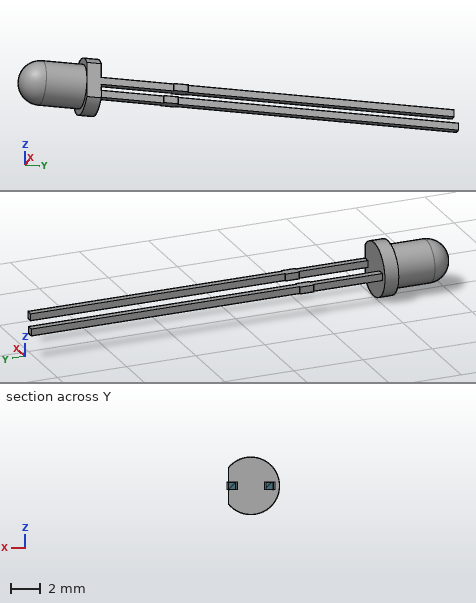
import cadquery as cq

lens_radius = 1.5
lens_straight_length = 2.8
flange_radius = 1.925
flange_thickness = 1.0
flange_flat_x = lens_radius

lead_thickness = 0.5
lead_pitch = 2.5
long_lead_length = 25.4
short_lead_length = long_lead_length - 1.0

standoff_width = 0.7
standoff_length = 1.0
standoff_start = 5.0

flange_front_y = -flange_thickness
dome_start_y = flange_front_y - lens_straight_length
tip_y = dome_start_y - lens_radius


def make_lens():
    """Straight cylinder with a hemispherical tip, revolved about the Y axis."""
    arc_offset = lens_radius * 0.5 ** 0.5
    profile = (
        cq.Workplane("XY")
        .moveTo(0, flange_front_y)
        .lineTo(lens_radius, flange_front_y)
        .lineTo(lens_radius, dome_start_y)
        .threePointArc((arc_offset, dome_start_y - arc_offset), (0, tip_y))
        .close()
    )
    return profile.revolve(360, (0, 0, 0), (0, 1, 0))


def make_flange():
    """Round flange with the polarity flat on its +X side."""
    disc = cq.Workplane("XZ").circle(flange_radius).extrude(flange_thickness)
    flange_size_x = flange_radius + flange_flat_x
    keep = cq.Workplane("XY").box(flange_size_x, 2 * flange_thickness, 2 * flange_radius)
    return disc.intersect(keep.translate(((flange_flat_x - flange_radius) / 2, 0, 0)))


def make_bar(center_x, width, start_y, length):
    """Rectangular bar of lead thickness running along +Y from start_y."""
    bar = cq.Workplane("XY").box(width, length, lead_thickness, centered=(True, False, True))
    return bar.translate((center_x, start_y, 0))


def make_lead(center_x, length):
    """Square lead with its wider standoff."""
    wire = make_bar(center_x, lead_thickness, 0, length)
    standoff = make_bar(center_x, standoff_width, standoff_start, standoff_length)
    return wire.union(standoff)


result = make_flange().union(make_lens())
for lead_x, lead_length in (
    (-lead_pitch / 2, long_lead_length),
    (lead_pitch / 2, short_lead_length),
):
    result = result.union(make_lead(lead_x, lead_length))